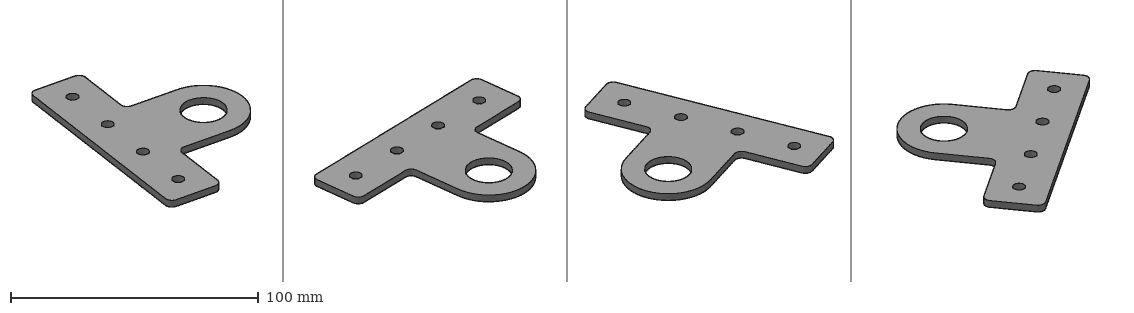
import cadquery as cq

base_length = 101.6
base_width = 25.4
thickness = 3.3
corner_radius = 3.1

tab_width = 38.0
eye_height = 2 * base_width
eye_diameter = 19.0

hole_count = 4
hole_pitch = base_length / hole_count
hole_diameter = 5.2


def make_plate():
    """T-shaped plate with rounded strip corners and a round tab end."""
    half_length = base_length / 2
    half_tab = tab_width / 2
    plate = (
        cq.Workplane("XY")
        .moveTo(-half_length, 0)
        .lineTo(half_length, 0)
        .lineTo(half_length, base_width)
        .lineTo(half_tab, base_width)
        .lineTo(half_tab, eye_height)
        .threePointArc((0, eye_height + half_tab), (-half_tab, eye_height))
        .lineTo(-half_tab, base_width)
        .lineTo(-half_length, base_width)
        .close()
        .extrude(thickness)
    )
    strip_zone = cq.selectors.BoxSelector(
        (-base_length, -base_width, -thickness),
        (base_length, (base_width + eye_height) / 2, 2 * thickness),
    )
    return plate.edges("|Z").edges(strip_zone).fillet(corner_radius)


def cut_holes(plate):
    """Cut the eye and the row of mounting holes through the plate."""
    first_hole_x = -hole_pitch * (hole_count - 1) / 2
    hole_centres = [
        (first_hole_x + i * hole_pitch, base_width / 2) for i in range(hole_count)
    ]
    eye = cq.Workplane("XY").center(0, eye_height).circle(eye_diameter / 2).extrude(thickness)
    holes = (
        cq.Workplane("XY")
        .pushPoints(hole_centres)
        .circle(hole_diameter / 2)
        .extrude(thickness)
    )
    return plate.cut(eye).cut(holes)


result = cut_holes(make_plate())